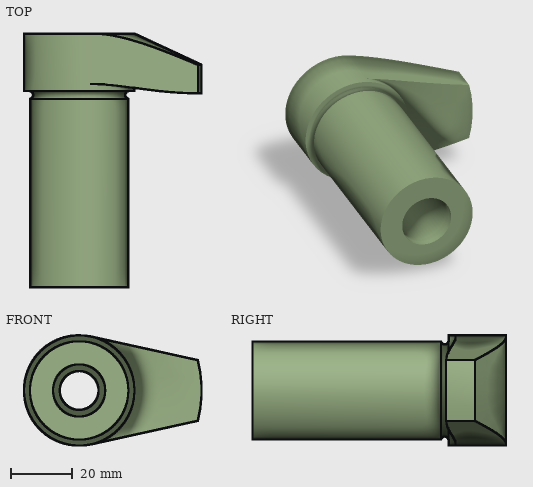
import cadquery as cq
import math

total_length = 82.5
head_radius = 36.0 / 2
head_length = 18.7
shaft_radius = 32.0 / 2

groove_length = 2.5
groove_radius = 15.0

bore_radius = 17.0 / 2
through_radius = 12.5 / 2

arm_reach = 39.85
arm_tangent_x = 3.9
arm_back_drop = 10.15
arm_root_front = 16.4
arm_tip_front = 19.5


def make_turned_body():
    """Head, undercut and shaft, turned about the Y axis."""
    shaft_start = head_length + groove_length
    groove_middle = head_length + groove_length / 2
    profile = (
        cq.Workplane("XY")
        .lineTo(head_radius, 0)
        .lineTo(head_radius, -head_length)
        .lineTo(shaft_radius, -head_length)
        .threePointArc((groove_radius, -groove_middle), (shaft_radius, -shaft_start))
        .lineTo(shaft_radius, -total_length)
        .lineTo(0, -total_length)
        .close()
    )
    return profile.revolve(360, (0, 0), (0, 1))


def make_arm():
    """Tapered plan of the arm, cut to shape by a revolved side profile."""
    tangent_angle = math.acos(arm_tangent_x / head_radius)
    corner_angle = tangent_angle - math.acos(head_radius / arm_reach)
    tangent_z = head_radius * math.sin(tangent_angle)
    corner_x = arm_reach * math.cos(corner_angle)
    corner_z = arm_reach * math.sin(corner_angle)
    plan = (
        cq.Workplane("XZ")
        .lineTo(arm_tangent_x, tangent_z)
        .lineTo(corner_x, corner_z)
        .threePointArc((arm_reach, 0), (corner_x, -corner_z))
        .lineTo(arm_tangent_x, -tangent_z)
        .close()
        .extrude(total_length)
    )

    arc_run = arm_reach - head_radius
    arc_drop = arm_tip_front - arm_root_front
    arc_radius = (arc_run**2 + arc_drop**2) / (2 * arc_drop)
    half_angle = math.asin(arc_run / arc_radius) / 2
    arc_middle = (
        arm_reach - arc_radius * math.sin(half_angle),
        -arm_tip_front + arc_radius * (1 - math.cos(half_angle)),
    )
    side_profile = (
        cq.Workplane("XY")
        .lineTo(head_radius, 0)
        .lineTo(arm_reach, -arm_back_drop)
        .lineTo(arm_reach, -arm_tip_front)
        .threePointArc(arc_middle, (head_radius, -arm_root_front))
        .lineTo(0, -arm_root_front)
        .close()
        .revolve(360, (0, 0), (0, 1))
    )
    return plan.intersect(side_profile)


def make_bore():
    """Through hole in the head, opened out along the shaft."""
    through_hole = cq.Workplane("XZ").circle(through_radius).extrude(total_length)
    shaft_bore = (
        cq.Workplane("XZ", origin=(0, -head_length, 0))
        .circle(bore_radius)
        .extrude(total_length - head_length)
    )
    return through_hole.union(shaft_bore)


result = make_turned_body().union(make_arm()).cut(make_bore())